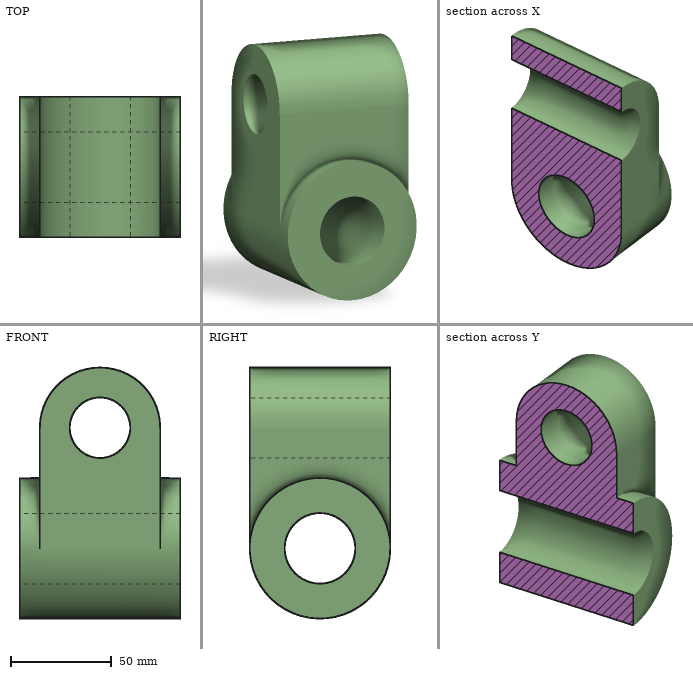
import cadquery as cq

barrel_length = 80.0
barrel_diameter = 70.0
barrel_bore_diameter = 35.0

lug_width = 60.0
lug_depth = barrel_diameter
lug_hole_height = 60.0
lug_hole_diameter = 30.0


def cylinder_along_x(diameter, length):
    """Cylinder on the barrel axis, centred on the origin."""
    return (
        cq.Workplane("YZ", origin=(-length / 2, 0, 0))
        .circle(diameter / 2)
        .extrude(length)
    )


def make_lug():
    """Lug from the barrel axis up, flush with the barrel sides in Y."""
    half_width = lug_width / 2
    return (
        cq.Workplane("XZ", origin=(0, lug_depth / 2, 0))
        .moveTo(-half_width, 0)
        .lineTo(half_width, 0)
        .lineTo(half_width, lug_hole_height)
        .threePointArc((0, lug_hole_height + half_width), (-half_width, lug_hole_height))
        .close()
        .extrude(lug_depth)
    )


def make_lug_hole():
    """Through hole concentric with the rounded top of the lug."""
    return (
        cq.Workplane("XZ", origin=(0, lug_depth / 2, 0))
        .center(0, lug_hole_height)
        .circle(lug_hole_diameter / 2)
        .extrude(lug_depth)
    )


barrel = cylinder_along_x(barrel_diameter, barrel_length)
barrel_bore = cylinder_along_x(barrel_bore_diameter, barrel_length)

result = barrel.union(make_lug()).cut(barrel_bore).cut(make_lug_hole())